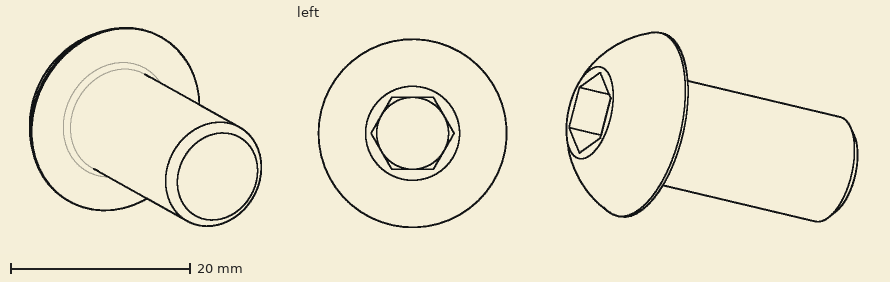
import cadquery as cq
import math

total_length = 31.6
head_diameter = 21.0
head_height = 6.6
rim_width = 0.35
face_diameter = 10.5
dome_radius = 11.47
shank_diameter = 12.0
tip_chamfer = 0.98
neck_fillet = 0.6
hex_across_flats = 8.03
hex_depth = 4.17
socket_cone_angle = 120.0

head_radius = head_diameter / 2
face_radius = face_diameter / 2
shank_radius = shank_diameter / 2
hex_inradius = hex_across_flats / 2


def dome_midpoint():
    """Point halfway along the convex dome arc, from the flat face to the rim."""
    run = head_height - rim_width
    rise = head_radius - face_radius
    chord = math.hypot(run, rise)
    bulge = dome_radius - math.sqrt(dome_radius**2 - (chord / 2) ** 2)
    x = run / 2 - bulge * rise / chord
    r = (face_radius + head_radius) / 2 + bulge * run / chord
    return x, r


def make_body():
    """Head, filleted neck and chamfered shank, revolved about the X axis."""
    fillet_offset = neck_fillet * (1 - math.sqrt(0.5))
    profile = (
        cq.Workplane("XY")
        .lineTo(0, face_radius)
        .threePointArc(dome_midpoint(), (head_height - rim_width, head_radius))
        .lineTo(head_height, head_radius)
        .lineTo(head_height, shank_radius + neck_fillet)
        .threePointArc(
            (head_height + fillet_offset, shank_radius + fillet_offset),
            (head_height + neck_fillet, shank_radius),
        )
        .lineTo(total_length - tip_chamfer, shank_radius)
        .lineTo(total_length, shank_radius - tip_chamfer)
        .lineTo(total_length, 0)
        .close()
    )
    return profile.revolve(360, (0, 0, 0), (1, 0, 0))


def make_socket():
    """Hexagonal socket with flats facing up and down and a conical bottom."""
    hex_corner_diameter = hex_across_flats / math.cos(math.radians(30))
    hexagon = cq.Workplane("YZ").polygon(6, hex_corner_diameter).extrude(hex_depth)
    cone_depth = hex_inradius / math.tan(math.radians(socket_cone_angle / 2))
    cone = cq.Solid.makeCone(
        hex_inradius, 0, cone_depth, cq.Vector(hex_depth, 0, 0), cq.Vector(1, 0, 0)
    )
    return hexagon.union(cq.Workplane(obj=cone))


result = make_body().cut(make_socket())